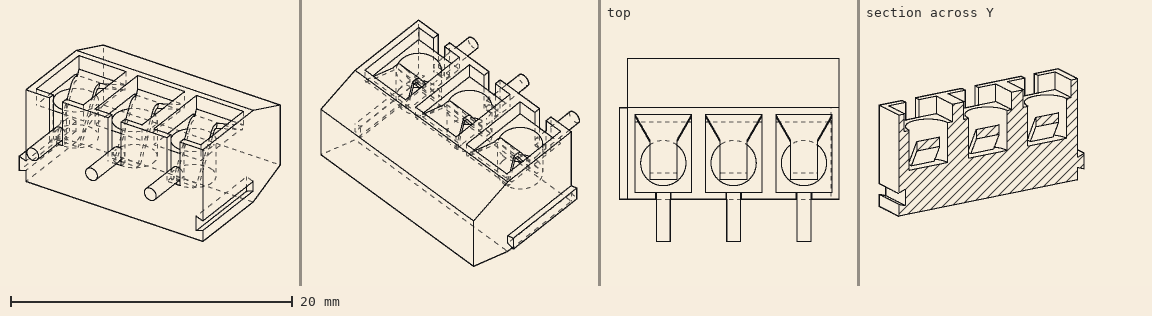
import cadquery as cq
import math


overall_width = 15.6
rail_depth = 0.56
housing_width = overall_width - rail_depth
housing_length = 10.0
housing_height = 7.6
flat_length = 6.5
bevel_drop = 1.31

rail_center_z = 1.31
rail_neck = 0.8
rail_head = 1.2

pole_count = 3
pole_pitch = 4.99
pole_shift = 0.03

wall = 0.5
pocket_width = 4.0
pocket_front_y = wall
pocket_back_y = flat_length - wall
pocket_floor_z = housing_height - 1.31

slot_width = 1.1
slot_depth = 3.6
pin_radius = 0.5
pin_z = housing_height - 3.0
pin_length = 3.0

well_radius = 1.6
well_center_y = 2.57

leaf_width = 1.92
leaf_thickness = 0.36
leaf_root_width = pocket_width
bend_radius = 0.61
rise_angle = math.radians(20.8)
fall_angle = math.radians(61)
foot_angle = math.radians(42)
crest_z = housing_height - 0.39
rise_end_y = 4.2
fall_run = 1.9


def polar(center, radius, tilt):
    """Point (y, z) at a radius from a center, tilt measured from +Z towards -Y."""
    return (center[0] - radius * math.sin(tilt), center[1] + radius * math.cos(tilt))


bend_center = (rise_end_y - bend_radius * math.sin(rise_angle), crest_z - bend_radius)
rise_end = polar(bend_center, bend_radius, -rise_angle)
fall_start = polar(bend_center, bend_radius, fall_angle)
fall_end = (fall_start[0] - fall_run, fall_start[1] - fall_run * math.tan(fall_angle))
foot_center = polar(fall_end, bend_radius, fall_angle)
foot_tip = polar(foot_center, -bend_radius, foot_angle)
well_floor_z = foot_tip[1]

rise_run = pocket_back_y - rise_end_y
root_top = (pocket_back_y, rise_end[1] - rise_run * math.tan(rise_angle))
root_bottom = polar(root_top, -leaf_thickness, -rise_angle)
ramp_end_y = root_bottom[0] - (pocket_floor_z - root_bottom[1]) / math.tan(rise_angle)


def extrude_across(profile, width):
    """Solid from a closed YZ profile, centered on X = 0."""
    return profile.extrude(width / 2, both=True)


def make_housing():
    outline = [
        (0, 0),
        (flat_length, 0),
        (housing_length, bevel_drop),
        (housing_length, housing_height - bevel_drop),
        (flat_length, housing_height),
        (0, housing_height),
    ]
    return extrude_across(cq.Workplane("YZ").polyline(outline).close(), housing_width)


def make_dovetail(side_x):
    """Dovetail bar with its neck at side_x, widening towards -X."""
    section = [
        (side_x, rail_center_z - rail_neck / 2),
        (side_x, rail_center_z + rail_neck / 2),
        (side_x - rail_depth, rail_center_z + rail_head / 2),
        (side_x - rail_depth, rail_center_z - rail_head / 2),
    ]
    return cq.Workplane("XZ").polyline(section).close().extrude(-flat_length)


def make_cavity():
    """Pocket with a ramp at its back, the round well and the slot for the pin."""
    pocket_profile = [
        (pocket_front_y, housing_height),
        (pocket_front_y, pocket_floor_z),
        (ramp_end_y, pocket_floor_z),
        root_bottom,
        root_top,
        (pocket_back_y, housing_height),
    ]
    pocket = extrude_across(cq.Workplane("YZ").polyline(pocket_profile).close(), pocket_width)
    well = (
        cq.Workplane("XY", origin=(0, well_center_y, well_floor_z))
        .circle(well_radius)
        .extrude(housing_height - well_floor_z)
    )
    slot = cq.Workplane("XY", origin=(0, 0, housing_height - slot_depth)).box(
        slot_width, pocket_front_y, slot_depth, centered=(True, False, False)
    )
    return pocket.union(well).union(slot)


def make_leaf():
    """Bent strip plus the tapered stretch that widens to the back wall."""
    mid_bend = (fall_angle - rise_angle) / 2
    mid_foot = (fall_angle + foot_angle) / 2
    inner_bend = bend_radius - leaf_thickness
    outer_foot = bend_radius + leaf_thickness
    strip_profile = (
        cq.Workplane("YZ")
        .moveTo(*rise_end)
        .threePointArc(polar(bend_center, bend_radius, mid_bend), fall_start)
        .lineTo(*fall_end)
        .threePointArc(polar(foot_center, -bend_radius, mid_foot), foot_tip)
        .lineTo(*polar(foot_center, -outer_foot, foot_angle))
        .threePointArc(
            polar(foot_center, -outer_foot, mid_foot),
            polar(foot_center, -outer_foot, fall_angle),
        )
        .lineTo(*polar(bend_center, inner_bend, fall_angle))
        .threePointArc(
            polar(bend_center, inner_bend, mid_bend),
            polar(bend_center, inner_bend, -rise_angle),
        )
        .close()
    )
    strip = extrude_across(strip_profile, leaf_width)

    rise_plane = cq.Plane(
        origin=(0, *rise_end),
        xDir=(1, 0, 0),
        normal=(0, math.sin(rise_angle), math.cos(rise_angle)),
    )
    rise_length = rise_run / math.cos(rise_angle)
    taper_outline = [
        (-leaf_width / 2, 0),
        (leaf_width / 2, 0),
        (leaf_root_width / 2, rise_length),
        (-leaf_root_width / 2, rise_length),
    ]
    taper = cq.Workplane(rise_plane).polyline(taper_outline).close().extrude(-leaf_thickness)
    return strip.union(taper)


def make_pin():
    """Round pin that starts at the back of the slot."""
    return (
        cq.Workplane("XZ", origin=(0, pocket_front_y, pin_z))
        .circle(pin_radius)
        .extrude(pocket_front_y + pin_length)
    )


body = make_housing()
body = body.union(make_dovetail(-housing_width / 2))
body = body.cut(make_dovetail(housing_width / 2))

cavity = make_cavity()
leaf = make_leaf()
pin = make_pin()
for index in range(pole_count):
    offset = (pole_shift + (index - (pole_count - 1) / 2) * pole_pitch, 0, 0)
    body = body.cut(cavity.translate(offset))
    body = body.union(leaf.translate(offset))
    body = body.union(pin.translate(offset))

result = body